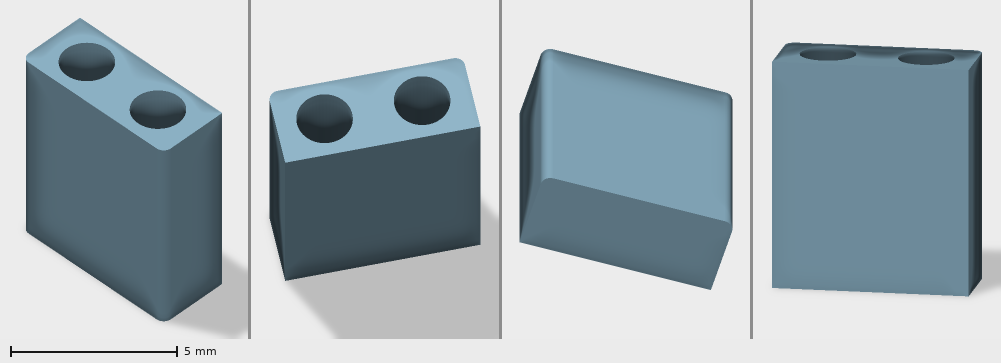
import cadquery as cq

width = 6.0
thickness = 2.5
height = 7.0
edge_radius = 0.3

hole_diameter = 1.7
hole_spacing = width / 2
hole_shift = 0.02
hole_depth = 6.0

block = cq.Workplane("XY").box(width, thickness, height, centered=(True, True, False))

block = block.faces("<Y").edges("|Z").fillet(edge_radius)

hole_centres = [(hole_shift + side * hole_spacing / 2, 0) for side in (-1, 1)]
holes = (
    cq.Workplane("XY", origin=(0, 0, height))
    .pushPoints(hole_centres)
    .circle(hole_diameter / 2)
    .extrude(-hole_depth)
)

result = block.cut(holes)